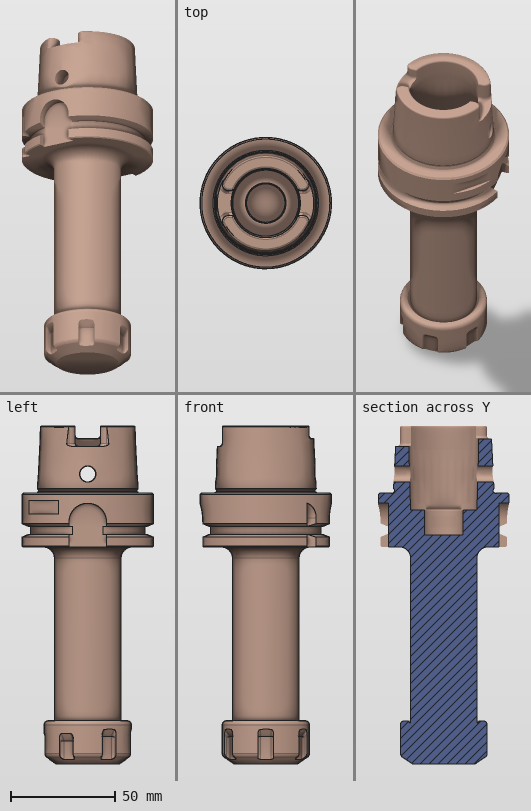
import cadquery as cq
import math


shank_length = 32.0
shank_base_radius = 24.3
shank_end_radius = 22.7
shank_end_fillet = 0.8
relief_height = 2.0
relief_radius = 23.7
relief_slope_height = 0.6
relief_floor_radius = 24.7
relief_outer_radius = 25.3
relief_depth = 0.3

bore_radius = 16.6
bore_floor_radius = 15.8
bore_cone_z = 20.6
bore_floor_z = -8.0
core_hole_radius = 9.2
core_hole_chamfer = 0.5
core_hole_depth = 12.0
cross_hole_radius = 3.8
cross_hole_z = 9.0

drive_slot_width = 12.0
drive_slot_depth_minus_x = 9.7
drive_slot_depth_plus_x = 6.0
drive_slot_step_x = 20.8
drive_slot_edge_radius = 3.0
drive_slot_floor_fillet = 1.4

flange_radius = 31.5
flange_thickness = 26.0
flange_top_chamfer = 0.8
flange_bottom_chamfer = 0.5
groove_radius = 27.5
groove_center_z = -18.0
groove_floor_width = 3.7
groove_flank_foot_radius = 28.3
groove_mouth_width = 6.5

keyway_width_minus_x = 18.0
keyway_width_plus_x = 16.0
keyway_floor_x = 26.5
keyway_top_z = -5.0
corner_notch_x = 19.8
corner_notch_y = -20.2
corner_notch_radius = 8.0
corner_notch_arc_z = -12.0
chip_flat_distance = 29.85
chip_flat_top_z = -3.7
chip_flat_height = 6.4
chip_flat_angle = 135.0

body_radius = 16.0
body_fillet = 5.2

overall_bottom_z = -130.0
nut_height = 20.8
nut_radius = 20.9
nut_top_fillet = 2.0
nut_countersink_radius = 17.2
nut_bottom_radius = 15.0
nut_cone_height = 4.0
nut_edge_fillet = 2.0

wrench_slot_count = 6
wrench_slot_width = 7.6
wrench_slot_floor_distance = 18.2
wrench_slot_roof_drop = 3.6
wrench_slot_corner_fillet = 1.2
tall_slot_top_gap = 4.0
short_slot_top_gap = 6.0

nut_top_z = overall_bottom_z + nut_height

pick_margin = 0.1


def turned_about_z(shape, angle):
    return shape.rotate((0, 0, 0), (0, 0, 1), angle)


def ring_solid(points):
    """Revolve a closed (radius, z) polygon around the Z axis."""
    return cq.Workplane("XZ").polyline(points).close().revolve(360, (0, 0), (0, 1))


def z_box(x_min, x_max, y_min, y_max, z_min, z_max):
    return cq.Workplane("XY").box(
        x_max - x_min, y_max - y_min, z_max - z_min, centered=False
    ).translate((x_min, y_min, z_min))


def make_shank():
    end_taper = (shank_base_radius - shank_end_radius) / shank_length
    relief_taper_radius = shank_base_radius - end_taper * relief_height
    return ring_solid([
        (0, -flange_thickness / 2),
        (relief_radius, -flange_thickness / 2),
        (relief_radius, relief_height - relief_slope_height),
        (relief_taper_radius, relief_height),
        (shank_end_radius, shank_length),
        (0, shank_length),
    ])


def make_flange():
    half_floor = groove_floor_width / 2
    half_mouth = groove_mouth_width / 2
    return ring_solid([
        (0, relief_slope_height),
        (relief_radius, relief_slope_height),
        (relief_floor_radius, -relief_depth),
        (relief_outer_radius, -relief_depth),
        (relief_outer_radius, 0),
        (flange_radius - flange_top_chamfer, 0),
        (flange_radius, -flange_top_chamfer),
        (flange_radius, groove_center_z + half_mouth),
        (groove_flank_foot_radius, groove_center_z + half_floor),
        (groove_radius, groove_center_z + half_floor),
        (groove_radius, groove_center_z - half_floor),
        (groove_flank_foot_radius, groove_center_z - half_floor),
        (flange_radius, groove_center_z - half_mouth),
        (flange_radius, -flange_thickness + flange_bottom_chamfer),
        (flange_radius - flange_bottom_chamfer, -flange_thickness),
        (0, -flange_thickness),
    ])


def make_body():
    """Extension cylinder that flares into the flange and reaches halfway into the nut."""
    body_end_z = nut_top_z - nut_height / 2
    fillet_end_z = -flange_thickness - body_fillet
    arc_offset = body_fillet * (1 - math.sqrt(0.5))
    return (
        cq.Workplane("XZ")
        .moveTo(0, body_end_z)
        .lineTo(body_radius, body_end_z)
        .lineTo(body_radius, fillet_end_z)
        .threePointArc(
            (body_radius + arc_offset, -flange_thickness - arc_offset),
            (body_radius + body_fillet, -flange_thickness),
        )
        .lineTo(0, -flange_thickness)
        .close()
        .revolve(360, (0, 0), (0, 1))
    )


def make_nut():
    cone_top_z = overall_bottom_z + nut_cone_height
    nut = ring_solid([
        (0, overall_bottom_z),
        (nut_bottom_radius, overall_bottom_z),
        (nut_radius, cone_top_z),
        (nut_radius, nut_top_z),
        (0, nut_top_z),
    ])
    nut = nut.faces(">Z").edges().fillet(nut_top_fillet)
    countersink_depth = nut_countersink_radius - body_radius
    nut = nut.cut(ring_solid([
        (body_radius, nut_top_z),
        (nut_countersink_radius, nut_top_z),
        (body_radius, nut_top_z - countersink_depth),
    ]))
    cone_edge = cq.selectors.BoxSelector(
        (-nut_radius - pick_margin, -nut_radius - pick_margin, cone_top_z - pick_margin),
        (nut_radius + pick_margin, nut_radius + pick_margin, cone_top_z + pick_margin),
        boundingbox=True,
    )
    return nut.edges(cone_edge).fillet(nut_edge_fillet)


def make_bore_cutter():
    """Bore that narrows slightly towards its floor, with a blind core hole below."""
    return ring_solid([
        (0, shank_length),
        (bore_radius, shank_length),
        (bore_radius, bore_cone_z),
        (bore_floor_radius, bore_floor_z),
        (core_hole_radius + core_hole_chamfer, bore_floor_z),
        (core_hole_radius, bore_floor_z - core_hole_chamfer),
        (core_hole_radius, bore_floor_z - core_hole_depth),
        (0, bore_floor_z - core_hole_depth),
    ])


def make_cross_hole_cutter():
    return (
        cq.Workplane("YZ")
        .center(0, cross_hole_z)
        .circle(cross_hole_radius)
        .extrude(shank_base_radius, both=True)
    )


def make_drive_slot_cutter(depth):
    """Slot on the +X side that widens at a rounded shoulder near the outside."""
    half_width = drive_slot_width / 2
    floor_z = shank_length - depth
    reach = shank_base_radius
    throat = z_box(0, reach, -half_width, half_width, floor_z, shank_length)
    mouth = z_box(drive_slot_step_x, 2 * reach, -reach, reach, floor_z, shank_length)
    shoulder = cq.selectors.BoxSelector(
        (drive_slot_step_x - pick_margin, -half_width - pick_margin, floor_z - pick_margin),
        (drive_slot_step_x + pick_margin, half_width + pick_margin, shank_length + pick_margin),
        boundingbox=True,
    )
    cutter = throat.union(mouth).edges(shoulder).edges("|Z").fillet(drive_slot_edge_radius)
    return cutter.faces("<Z").edges().fillet(drive_slot_floor_fillet)


def make_keyway_cutter(width):
    """Arch-topped keyway on the +X side, open at the flange underside."""
    half_width = width / 2
    arc_z = keyway_top_z - half_width
    return (
        cq.Workplane("YZ", origin=(keyway_floor_x, 0, 0))
        .moveTo(-half_width, -flange_thickness)
        .lineTo(-half_width, arc_z)
        .threePointArc((0, keyway_top_z), (half_width, arc_z))
        .lineTo(half_width, -flange_thickness)
        .close()
        .extrude(flange_radius - keyway_floor_x)
    )


def make_corner_notch_cutter():
    """Arch-topped notch that nips the rim in the +X -Y quadrant."""
    arc_y = corner_notch_y - corner_notch_radius
    apex_z = corner_notch_arc_z + corner_notch_radius
    return (
        cq.Workplane("YZ", origin=(corner_notch_x, 0, 0))
        .moveTo(corner_notch_y, -flange_thickness)
        .lineTo(corner_notch_y, corner_notch_arc_z)
        .threePointArc((arc_y, apex_z), (arc_y - corner_notch_radius, corner_notch_arc_z))
        .lineTo(arc_y - corner_notch_radius, -flange_thickness)
        .close()
        .extrude(flange_radius - corner_notch_x)
    )


def make_chip_flat_cutter():
    flat = z_box(
        chip_flat_distance, flange_radius, -flange_radius, flange_radius,
        chip_flat_top_z - chip_flat_height, chip_flat_top_z,
    )
    return turned_about_z(flat, chip_flat_angle)


def make_wrench_slot_cutter(top_gap):
    """Slot on the -Y side with a sloping roof and rounded corners, open at the nut bottom."""
    roof_z = nut_top_z - top_gap
    slot = (
        cq.Workplane("YZ")
        .moveTo(-wrench_slot_floor_distance, overall_bottom_z)
        .lineTo(-wrench_slot_floor_distance, roof_z - wrench_slot_roof_drop)
        .lineTo(-nut_radius, roof_z)
        .lineTo(-nut_radius, overall_bottom_z)
        .close()
        .extrude(wrench_slot_width / 2, both=True)
    )
    slot_depth = nut_radius - wrench_slot_floor_distance
    along_roof = cq.selectors.ParallelDirSelector(cq.Vector(0, -slot_depth, wrench_slot_roof_drop))
    inner_upright = cq.selectors.StringSyntaxSelector("|Z") - cq.selectors.BoxSelector(
        (-nut_radius, -nut_radius - pick_margin, overall_bottom_z),
        (nut_radius, -nut_radius + pick_margin, nut_top_z),
    )
    return slot.edges(along_roof + inner_upright).fillet(wrench_slot_corner_fillet)


def cut_shank_features(part):
    """Bore, cross hole and drive slots, then rounding of every edge of the end face."""
    part = part.cut(make_bore_cutter())
    part = part.cut(make_cross_hole_cutter())
    part = part.cut(make_drive_slot_cutter(drive_slot_depth_plus_x))
    part = part.cut(turned_about_z(make_drive_slot_cutter(drive_slot_depth_minus_x), 180))
    return part.faces(">Z").edges().fillet(shank_end_fillet)


def cut_flange_features(flange):
    flange = flange.cut(make_keyway_cutter(keyway_width_plus_x))
    flange = flange.cut(turned_about_z(make_keyway_cutter(keyway_width_minus_x), 180))
    flange = flange.cut(make_corner_notch_cutter())
    return flange.cut(make_chip_flat_cutter())


def cut_wrench_slots(nut):
    """Slots facing -Y are tall, those facing +Y are short."""
    pitch = 360 / wrench_slot_count
    for index in range(wrench_slot_count):
        angle = index * pitch
        faces_minus_y = math.cos(math.radians(angle)) > 0
        top_gap = tall_slot_top_gap if faces_minus_y else short_slot_top_gap
        nut = nut.cut(turned_about_z(make_wrench_slot_cutter(top_gap), angle))
    return nut


flange = cut_flange_features(make_flange())
nut = cut_wrench_slots(make_nut())
blank = flange.union(make_shank()).union(make_body()).union(nut)
result = cut_shank_features(blank)